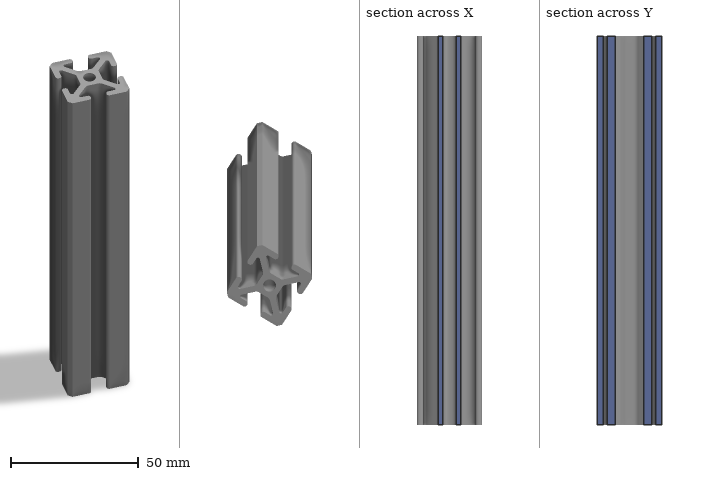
import cadquery as cq

length = 152.4
side = 25.5
corner_chamfer = 1.5
bore_diameter = 5.0

slot_opening = 6.4
lip_thickness = 2.5
lip_radius = 1.0
core_width = 9.1
web_thickness = 2.5
cavity_corner_radius = 0.8
core_corner_radius = 1.8

half_side = side / 2
half_opening = slot_opening / 2
cavity_outer = half_side - lip_thickness
core_face = core_width / 2
web_offset = web_thickness / 2 * 2**0.5


def make_bar():
    bar = cq.Workplane("XY").rect(side, side).extrude(length)
    return bar.edges("|Z").chamfer(corner_chamfer)


def make_cavity():
    """Trapezoidal cavity of the +Y slot, bounded by the core, two webs and two lips."""
    half_floor = core_face - web_offset
    half_top = cavity_outer - web_offset
    cavity = (
        cq.Workplane("XY")
        .moveTo(-half_floor, core_face)
        .lineTo(half_floor, core_face)
        .lineTo(half_top, cavity_outer)
        .lineTo(-half_top, cavity_outer)
        .close()
        .extrude(length)
    )
    cavity = cavity.faces(">Y").edges("|Z").fillet(cavity_corner_radius)
    return cavity.faces("<Y").edges("|Z").fillet(core_corner_radius)


def make_opening():
    """Mouth of the +Y slot, flared at both ends to round the edges of the lips."""
    inner_round = cavity_outer + lip_radius
    outer_round = half_side - lip_radius
    half_mouth = half_opening + lip_radius
    arc_inset = lip_radius * (1 - 0.5**0.5)
    arc_x = half_opening + arc_inset
    inner_arc_y = cavity_outer + arc_inset
    outer_arc_y = half_side - arc_inset
    return (
        cq.Workplane("XY")
        .moveTo(-half_mouth, cavity_outer)
        .lineTo(half_mouth, cavity_outer)
        .threePointArc((arc_x, inner_arc_y), (half_opening, inner_round))
        .lineTo(half_opening, outer_round)
        .threePointArc((arc_x, outer_arc_y), (half_mouth, half_side))
        .lineTo(-half_mouth, half_side)
        .threePointArc((-arc_x, outer_arc_y), (-half_opening, outer_round))
        .lineTo(-half_opening, inner_round)
        .threePointArc((-arc_x, inner_arc_y), (-half_mouth, cavity_outer))
        .close()
        .extrude(length)
    )


slot = make_cavity().union(make_opening())
result = make_bar()
for angle in (0, 90, 180, 270):
    result = result.cut(slot.rotate((0, 0, 0), (0, 0, 1), angle))

result = result.faces(">Z").workplane(origin=(0, 0, length)).hole(bore_diameter)